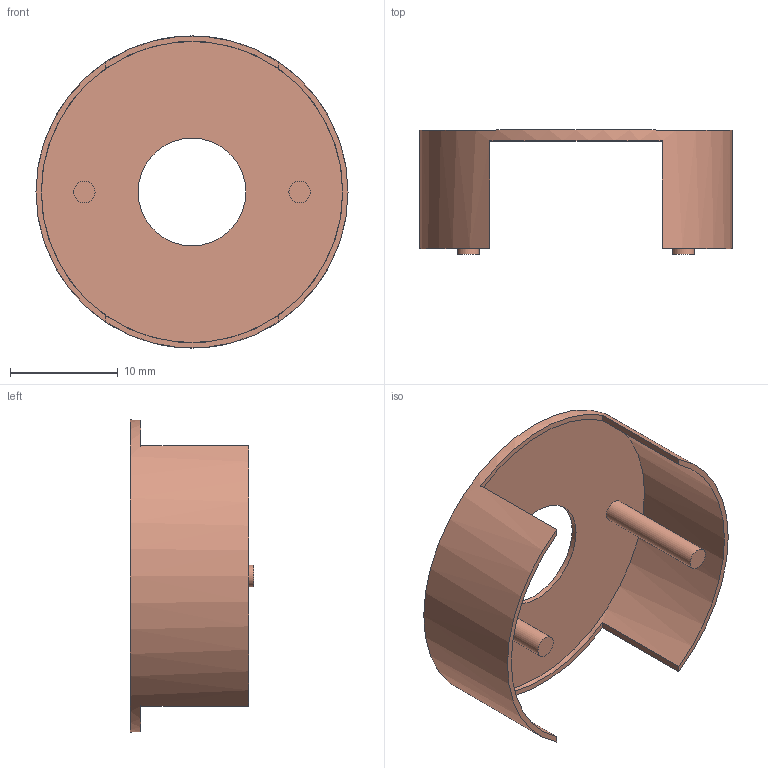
import cadquery as cq

outer_diameter = 29.0
inner_diameter = 28.0
cup_depth = 11.0
floor_thickness = 0.5

bore_diameter = 10.0

gap_width = 16.0
rim_height = 1.0

pin_diameter = 2.0
pin_spacing = 20.0
pin_overhang = 0.5


def cylinder(diameter, start_depth, end_depth, x=0.0):
    """Cylinder parallel to Y, between two depths measured from the back face."""
    return (
        cq.Workplane("XZ", origin=(x, -start_depth, 0))
        .circle(diameter / 2)
        .extrude(end_depth - start_depth)
    )


def make_cup():
    body = cylinder(outer_diameter, 0, cup_depth)
    cavity = cylinder(inner_diameter, floor_thickness, cup_depth)
    bore = cylinder(bore_diameter, 0, cup_depth)
    return body.cut(cavity).cut(bore)


def make_wall_gap():
    """Block that crosses the whole cup in Z and opens both gaps at once."""
    return (
        cq.Workplane("XZ", origin=(0, -rim_height, 0))
        .rect(gap_width, outer_diameter)
        .extrude(cup_depth - rim_height)
    )


result = make_cup().cut(make_wall_gap())

for side in (-1, 1):
    pin = cylinder(pin_diameter, 0, cup_depth + pin_overhang, side * pin_spacing / 2)
    result = result.union(pin)